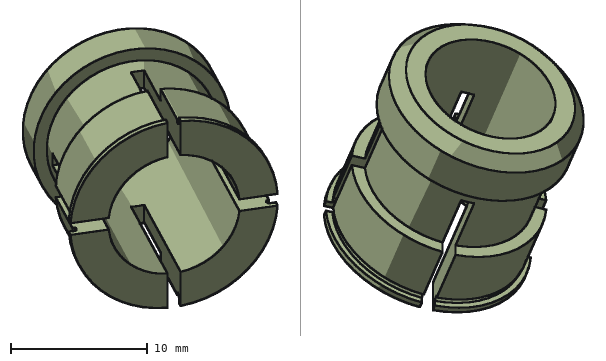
import cadquery as cq

total_length = 15.5
bore_diameter = 10.0
collar_diameter = 15.0
waist_diameter = 13.0
rim_diameter = 15.8

nose_chamfer = 1.0
collar_end = 4.0
waist_end = 10.0
rim_width = 0.5
groove_width = 0.44
groove_wall_depth = 0.19
groove_middle_depth = 0.24
groove_rim_depth = 0.08

slot_width = 1.0
slot_start = 5.5

bore_radius = bore_diameter / 2
collar_radius = collar_diameter / 2
waist_radius = waist_diameter / 2
rim_radius = rim_diameter / 2
rim_start = total_length - rim_width
groove_start = rim_start - groove_width
groove_middle = groove_start + groove_width / 2
groove_wall_radius = collar_radius - groove_wall_depth
groove_middle_radius = collar_radius - groove_middle_depth
groove_rim_radius = collar_radius - groove_rim_depth
slot_length = total_length - slot_start


def sleeve_body():
    """Revolve the stepped wall section, with its concave groove, about the X axis."""
    section = (
        cq.Workplane("XY")
        .moveTo(0, bore_radius)
        .lineTo(0, collar_radius - nose_chamfer)
        .lineTo(nose_chamfer, collar_radius)
        .lineTo(collar_end, collar_radius)
        .lineTo(collar_end, waist_radius)
        .lineTo(waist_end, waist_radius)
        .lineTo(waist_end, collar_radius)
        .lineTo(groove_start, collar_radius)
        .lineTo(groove_start, groove_wall_radius)
        .threePointArc(
            (groove_middle, groove_middle_radius), (rim_start, groove_rim_radius)
        )
        .lineTo(rim_start, rim_radius)
        .lineTo(total_length, rim_radius)
        .lineTo(total_length, bore_radius)
        .close()
    )
    return section.revolve(360, (0, 0, 0), (1, 0, 0))


def cross_slot(angle):
    """Slot across the full diameter, open at the rim end."""
    slot = cq.Workplane("XY").box(
        slot_length, slot_width, rim_diameter, centered=(False, True, True)
    )
    return slot.translate((slot_start, 0, 0)).rotate((0, 0, 0), (1, 0, 0), angle)


result = sleeve_body()
for slot_angle in (0, 90):
    result = result.cut(cross_slot(slot_angle))